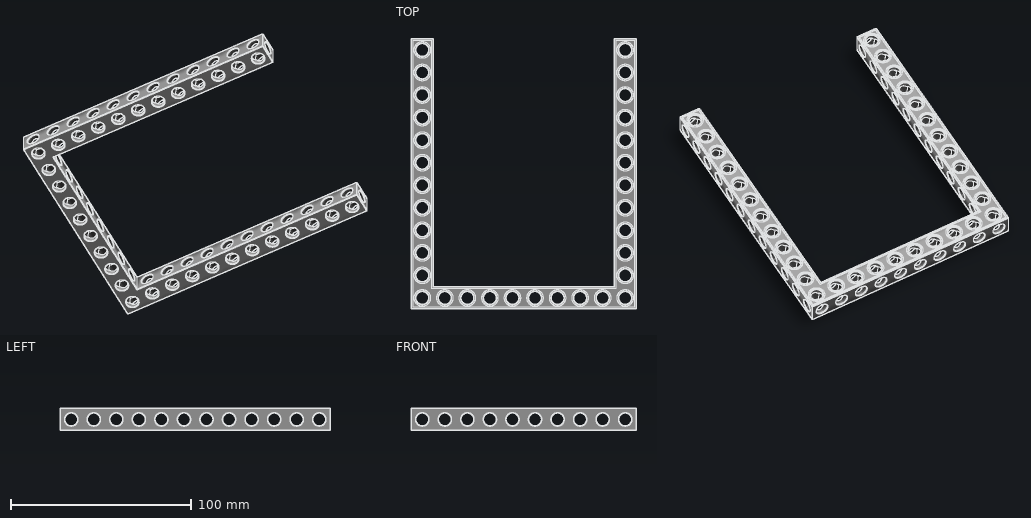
import cadquery as cq

pitch = 12.5
columns = 10
rows = 12
hole_diameter = 7.0
chamfer = 0.3
rim_width = 1.1
panel_depth = 0.2

width = columns * pitch
length = rows * pitch
half_pitch = pitch / 2
hole_radius = hole_diameter / 2
mouth_radius = hole_radius + chamfer
collar_radius = hole_radius + rim_width
hole_columns = [half_pitch + i * pitch for i in range(columns)]
hole_rows = [half_pitch + i * pitch for i in range(rows)]

X_AXIS = cq.Vector(1, 0, 0)
Y_AXIS = cq.Vector(0, 1, 0)
Z_AXIS = cq.Vector(0, 0, 1)


def u_shape(z, height, inset):
    """Sharp-edged U standing on height z, its outline moved inwards by inset."""
    right = width - inset
    top = length - inset
    inner = pitch - inset
    points = [
        (inset, inset),
        (right, inset),
        (right, top),
        (width - inner, top),
        (width - inner, inner),
        (inner, inner),
        (inner, top),
        (inset, top),
    ]
    return cq.Workplane("XY", origin=(0, 0, z)).polyline(points).close().extrude(height)


def vertical_hole_centres():
    """Hole centres along the base bar and then up both arms."""
    base = [(x, half_pitch) for x in hole_columns]
    arms = [(x, y) for x in (hole_columns[0], hole_columns[-1]) for y in hole_rows[1:]]
    return base + arms


def make_frame():
    """Square-section U with all of its convex edges chamfered."""
    frame = u_shape(0, pitch, 0)
    frame = frame.faces("<Y or >Y").edges("|Z").chamfer(chamfer)
    return frame.faces("<Z or >Z").chamfer(chamfer)


def make_panel_recess():
    """Shallow recess in the top face, leaving a border and a collar around each hole."""
    panel_z = pitch - panel_depth
    panel = u_shape(panel_z, panel_depth, rim_width)
    collars = (
        cq.Workplane("XY", origin=(0, 0, panel_z))
        .pushPoints(vertical_hole_centres())
        .circle(collar_radius)
        .extrude(panel_depth)
    )
    return panel.cut(collars)


def hole_cutter(start, axis, depth):
    """Through-hole from start along axis, with a chamfered mouth at both ends."""
    end = start + axis * depth
    return [
        cq.Solid.makeCylinder(hole_radius, depth, start, axis),
        cq.Solid.makeCone(mouth_radius, hole_radius, chamfer, start, axis),
        cq.Solid.makeCone(mouth_radius, hole_radius, chamfer, end, axis * -1),
    ]


def vertical_holes():
    """Holes through the bar from top to bottom."""
    cutters = []
    for x, y in vertical_hole_centres():
        cutters += hole_cutter(cq.Vector(x, y, 0), Z_AXIS, pitch)
    return cutters


def holes_along_y():
    """Holes through the base bar; the two end ones run the whole length of the arms."""
    cutters = []
    for x in hole_columns:
        in_arm = x in (hole_columns[0], hole_columns[-1])
        depth = length if in_arm else pitch
        cutters += hole_cutter(cq.Vector(x, 0, half_pitch), Y_AXIS, depth)
    return cutters


def holes_along_x():
    """One hole along the whole base bar, and a row of holes through each arm."""
    cutters = hole_cutter(cq.Vector(0, half_pitch, half_pitch), X_AXIS, width)
    for arm_x in (0, width - pitch):
        for y in hole_rows[1:]:
            cutters += hole_cutter(cq.Vector(arm_x, y, half_pitch), X_AXIS, pitch)
    return cutters


body = make_frame().cut(make_panel_recess()).val()
body = body.cut(*vertical_holes(), *holes_along_y(), *holes_along_x())
result = cq.Workplane(body.Solids()[0])